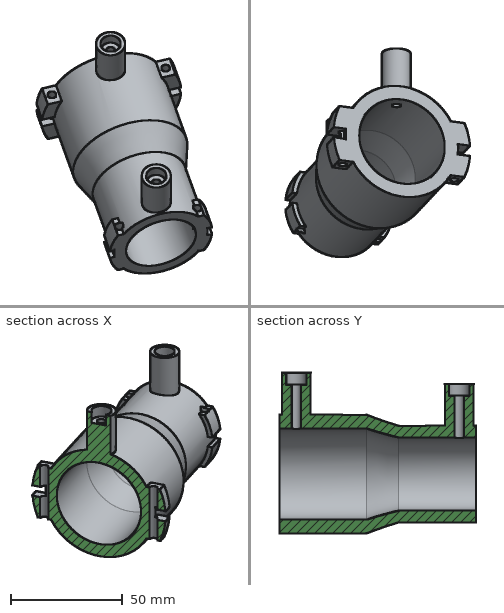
import cadquery as cq

length = 88.0
large_radius = 26.7
small_radius = 21.7
large_bore_radius = 20.3
small_bore_radius = 16.3
taper_start = 39.0
taper_end = 53.3

lug_length = 9.2
lug_height = 26.1
lug_rise_large = 5.8
lug_rise_small = 2.2
slot_height = 4.9
lug_hole_diameter = 3.8
lug_hole_y_large = 26.5
lug_hole_y_small = 18.2

port_inset = 7.6
port_rise = 18.7
port_radius = 6.5
port_socket_radius = 4.5
port_socket_depth = 5.3
port_hole_radius = 2.0


def stepped_solid(large_end_radius, small_end_radius):
    """Round solid along X that tapers from the large end to the small end."""
    half_profile = [
        (0, 0),
        (0, large_end_radius),
        (taper_start, large_end_radius),
        (taper_end, small_end_radius),
        (length, small_end_radius),
        (length, 0),
    ]
    return cq.Workplane("XY").polyline(half_profile).close().revolve(360, (0, 0, 0), (1, 0, 0))


def lugs(start_x, body_radius, rise):
    """Flat-topped, round-ended lugs on +Y and -Y, each split by a slot down to the body."""
    outer_radius = body_radius + rise
    middle_x = start_x + lug_length / 2
    disc = cq.Workplane("YZ", origin=(start_x, 0, 0)).circle(outer_radius).extrude(lug_length)
    band = cq.Workplane("XY").box(lug_length, 2 * outer_radius, lug_height)
    slot = cq.Workplane("XY").box(lug_length, 2 * outer_radius, slot_height)
    return disc.intersect(band.cut(slot).translate((middle_x, 0, 0)))


def lug_holes(center_x, offset_y):
    """Vertical drills through the lugs on both sides."""
    return (
        cq.Workplane("XY", origin=(center_x, 0, -large_radius))
        .pushPoints([(0, offset_y), (0, -offset_y)])
        .circle(lug_hole_diameter / 2)
        .extrude(2 * large_radius)
    )


def port_cylinder(center_x, radius, bottom_z, top_z):
    """Vertical cylinder above the sleeve axis."""
    return cq.Workplane("XY", origin=(center_x, 0, bottom_z)).circle(radius).extrude(top_z - bottom_z)


small_lug_start = length - lug_length
ports = [(port_inset, large_radius + port_rise), (length - port_inset, small_radius + port_rise)]

result = stepped_solid(large_radius, small_radius)
result = result.union(lugs(0, large_radius, lug_rise_large))
result = result.union(lugs(small_lug_start, small_radius, lug_rise_small))
for port_x, port_top in ports:
    result = result.union(port_cylinder(port_x, port_radius, 0, port_top))

result = result.cut(stepped_solid(large_bore_radius, small_bore_radius))

for port_x, port_top in ports:
    result = result.cut(port_cylinder(port_x, port_socket_radius, port_top - port_socket_depth, port_top))
    result = result.cut(port_cylinder(port_x, port_hole_radius, 0, port_top))

result = result.cut(lug_holes(lug_length / 2, lug_hole_y_large))
result = result.cut(lug_holes(length - lug_length / 2, lug_hole_y_small))